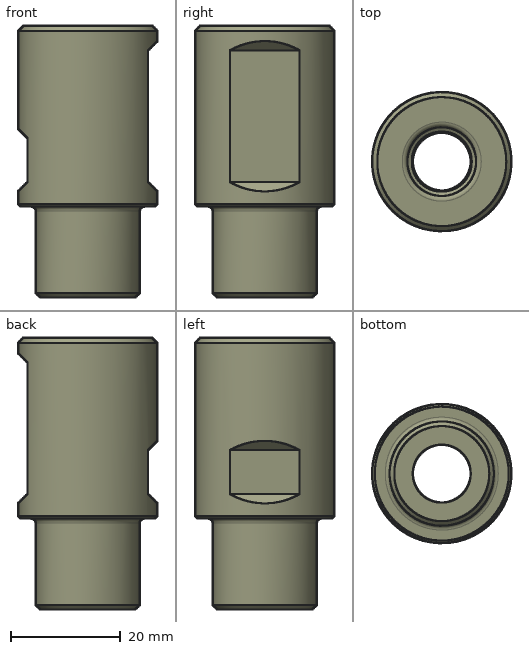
import cadquery as cq
import math

total_height = 49.5
body_radius = 25.4 / 2
shank_radius = 19.0 / 2
shank_height = 16.55

top_chamfer = 0.95
shoulder_chamfer = 0.5
shank_chamfer = 0.85
neck_fillet = 0.8

entry_radius = 12.5 / 2
entry_depth = 4.95
entry_fillet = 0.95
entry_floor_angle = 30.0
upper_bore_radius = 10.95 / 2
lower_bore_radius = 10.5 / 2

flat_distance = 11.0
flat_bottom = 21.05
short_flat_top = 29.0
long_flat_top = 45.0


def make_body():
    """Turned outside: chamfered body on a narrower shank with a filleted neck."""
    top_rim_radius = body_radius - top_chamfer
    arc_center_radius = shank_radius + neck_fillet
    arc_center_height = shank_height - neck_fillet
    arc_reach = neck_fillet * math.sqrt(0.5)
    neck_middle = (arc_center_radius - arc_reach, arc_center_height + arc_reach)
    return (
        cq.Workplane("XZ")
        .lineTo(shank_radius - shank_chamfer, 0)
        .lineTo(shank_radius, shank_chamfer)
        .lineTo(shank_radius, arc_center_height)
        .threePointArc(neck_middle, (arc_center_radius, shank_height))
        .lineTo(body_radius - shoulder_chamfer, shank_height)
        .lineTo(body_radius, shank_height + shoulder_chamfer)
        .lineTo(body_radius, total_height - top_chamfer)
        .lineTo(top_rim_radius, total_height)
        .lineTo(0, total_height)
        .close()
        .revolve(360, (0, 0), (0, 1))
    )


def make_bore():
    """Through bore with a rounded entry, a conical ledge and a step at the shoulder height."""
    entry_floor = total_height - entry_depth
    cone_drop = (entry_radius - upper_bore_radius) * math.tan(math.radians(entry_floor_angle))
    mouth_radius = entry_radius + entry_fillet
    arc_reach = entry_fillet * math.sqrt(0.5)
    mouth_middle = (mouth_radius - arc_reach, total_height - entry_fillet + arc_reach)
    return (
        cq.Workplane("XZ")
        .lineTo(lower_bore_radius, 0)
        .lineTo(lower_bore_radius, shank_height)
        .lineTo(upper_bore_radius, shank_height)
        .lineTo(upper_bore_radius, entry_floor - cone_drop)
        .lineTo(entry_radius, entry_floor)
        .lineTo(entry_radius, total_height - entry_fillet)
        .threePointArc(mouth_middle, (mouth_radius, total_height))
        .lineTo(0, total_height)
        .close()
        .revolve(360, (0, 0), (0, 1))
    )


def make_flat_cutter(side, flat_top):
    """Material removed for one flat; side is +1 for +X and -1 for -X."""
    depth = body_radius - flat_distance
    return (
        cq.Workplane("XZ")
        .moveTo(side * flat_distance, flat_bottom)
        .lineTo(side * flat_distance, flat_top)
        .lineTo(side * body_radius, flat_top + depth)
        .lineTo(side * body_radius, flat_bottom - depth)
        .close()
        .extrude(body_radius, both=True)
    )


result = (
    make_body()
    .cut(make_bore())
    .cut(make_flat_cutter(-1, short_flat_top))
    .cut(make_flat_cutter(1, long_flat_top))
)